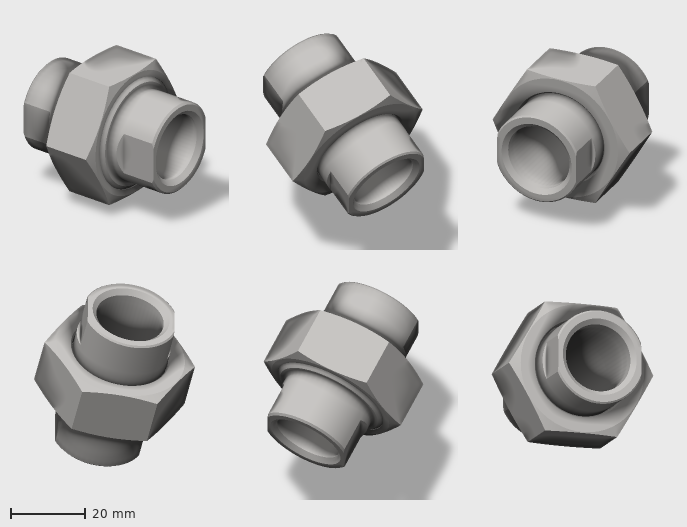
import cadquery as cq
import math

TOTAL_LENGTH = 44.0
PIPE_RADIUS = 26.0 / 2
BORE_RADIUS = 18.6 / 2
CUT_MARGIN = 0.45
COUNTERSINK_RADIUS = 21.25 / 2
COUNTERSINK_DEPTH = COUNTERSINK_RADIUS - BORE_RADIUS

NUT_LEFT = 13.5
NUT_RIGHT = 29.0
ACROSS_FLATS = 36.0
ACROSS_CORNERS = ACROSS_FLATS / math.cos(math.radians(30))
NUT_FACE_RADIUS = 35.55 / 2
CORNER_CHAMFER_LENGTH = 1.0
LIP_THICKNESS = 3.1
LIP_BORE_RADIUS = 26.5 / 2
LIP_CHAMFER = 0.5

THREAD_RADIUS = 31.85 / 2
FLANGE_RADIUS = 30.35 / 2
FLANGE_LENGTH = 3.1
FLANGE_LEFT = NUT_LEFT + LIP_THICKNESS
JOINT_X = FLANGE_LEFT + FLANGE_LENGTH

TAIL_END_CHAMFER = 0.45
TAIL_FLATS_WIDTH = 23.95
TAIL_FLATS_LENGTH = 9.15
TAIL_FLATS_RUNOUT_ANGLE = 75.0

COLLAR_RIGHT = 29.9
COLLAR_FACE_RADIUS = 29.5 / 2
COLLAR_CHAMFER = THREAD_RADIUS - COLLAR_FACE_RADIUS
COLLAR_FILLET = 0.85
THREADED_END_CHAMFER = 0.55
THREADED_FLATS_WIDTH = 23.1
THREADED_FLATS_LENGTH = 10.08
THREADED_FLATS_RUNOUT_ANGLE = 45.0


def revolve_about_x(profile):
    """Turn a closed XY profile (X along the axis, Y the radius) about the X axis."""
    return profile.close().revolve(360, (0, 0, 0), (1, 0, 0))


def flat_cutters(end_x, inward, width, length, runout_angle):
    """Material outside two flats at +Y and -Y; inward is the X direction into the piece."""
    half_width = width / 2
    outer_y = PIPE_RADIUS + CUT_MARGIN
    runout = (outer_y - half_width) / math.tan(math.radians(runout_angle))
    cutter = (
        cq.Workplane("XY")
        .moveTo(end_x, half_width)
        .lineTo(end_x + inward * length, half_width)
        .lineTo(end_x + inward * (length + runout), outer_y)
        .lineTo(end_x, outer_y)
        .close()
        .extrude(PIPE_RADIUS, both=True)
    )
    return cutter.union(cutter.mirror("XZ"))


def make_tail():
    """Left pipe end with a flange that the nut's lip pulls on."""
    profile = (
        cq.Workplane("XY")
        .moveTo(0, COUNTERSINK_RADIUS)
        .lineTo(0, PIPE_RADIUS - TAIL_END_CHAMFER)
        .lineTo(TAIL_END_CHAMFER, PIPE_RADIUS)
        .lineTo(FLANGE_LEFT, PIPE_RADIUS)
        .lineTo(FLANGE_LEFT, FLANGE_RADIUS)
        .lineTo(JOINT_X, FLANGE_RADIUS)
        .lineTo(JOINT_X, BORE_RADIUS)
        .lineTo(COUNTERSINK_DEPTH, BORE_RADIUS)
    )
    flats = flat_cutters(0, 1, TAIL_FLATS_WIDTH, TAIL_FLATS_LENGTH, TAIL_FLATS_RUNOUT_ANGLE)
    return revolve_about_x(profile).cut(flats).solids()


def make_threaded_piece():
    """Right pipe end with a chamfered collar that fills the nut's thread bore."""
    fillet_mid = COLLAR_FILLET * (1 - math.sqrt(0.5))
    profile = (
        cq.Workplane("XY")
        .moveTo(JOINT_X, BORE_RADIUS)
        .lineTo(JOINT_X, THREAD_RADIUS)
        .lineTo(COLLAR_RIGHT - COLLAR_CHAMFER, THREAD_RADIUS)
        .lineTo(COLLAR_RIGHT, COLLAR_FACE_RADIUS)
        .lineTo(COLLAR_RIGHT, PIPE_RADIUS + COLLAR_FILLET)
        .threePointArc(
            (COLLAR_RIGHT + fillet_mid, PIPE_RADIUS + fillet_mid),
            (COLLAR_RIGHT + COLLAR_FILLET, PIPE_RADIUS),
        )
        .lineTo(TOTAL_LENGTH - THREADED_END_CHAMFER, PIPE_RADIUS)
        .lineTo(TOTAL_LENGTH, PIPE_RADIUS - THREADED_END_CHAMFER)
        .lineTo(TOTAL_LENGTH, COUNTERSINK_RADIUS)
        .lineTo(TOTAL_LENGTH - COUNTERSINK_DEPTH, BORE_RADIUS)
    )
    flats = flat_cutters(
        TOTAL_LENGTH, -1, THREADED_FLATS_WIDTH, THREADED_FLATS_LENGTH, THREADED_FLATS_RUNOUT_ANGLE
    )
    return revolve_about_x(profile).cut(flats).solids()


def make_nut():
    """Hexagonal nut with corners on the Y axis, both ends coned and a lip at the left."""
    hexagon = (
        cq.Workplane("YZ", origin=(NUT_LEFT, 0, 0))
        .polygon(6, ACROSS_CORNERS)
        .extrude(NUT_RIGHT - NUT_LEFT)
    )
    envelope = (
        cq.Workplane("XY")
        .moveTo(NUT_LEFT, LIP_BORE_RADIUS + LIP_CHAMFER)
        .lineTo(NUT_LEFT, NUT_FACE_RADIUS)
        .lineTo(NUT_LEFT + CORNER_CHAMFER_LENGTH, ACROSS_CORNERS / 2)
        .lineTo(NUT_RIGHT - CORNER_CHAMFER_LENGTH, ACROSS_CORNERS / 2)
        .lineTo(NUT_RIGHT, NUT_FACE_RADIUS)
        .lineTo(NUT_RIGHT, THREAD_RADIUS)
        .lineTo(FLANGE_LEFT, THREAD_RADIUS)
        .lineTo(FLANGE_LEFT, LIP_BORE_RADIUS)
        .lineTo(NUT_LEFT + LIP_CHAMFER, LIP_BORE_RADIUS)
    )
    return hexagon.intersect(revolve_about_x(envelope)).solids()


tail = make_tail()
threaded_piece = make_threaded_piece()
nut = make_nut()

result = cq.Compound.makeCompound([tail.val(), threaded_piece.val(), nut.val()])